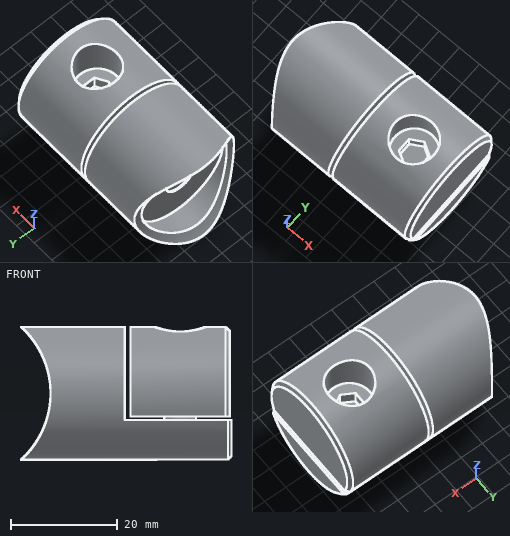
import cadquery as cq

length = 39.55
outer_diameter = 25.0
outer_radius = outer_diameter / 2

saddle_radius = 16.85
saddle_depth = 5.55
saddle_axis_x = saddle_depth - saddle_radius
shoulder_x = 19.55
tongue_top_z = -5.0
base_chamfer = 0.67
pocket_diameter = 21.3
pocket_floor_x = 6.7
recess_diameter = 6.8
recess_depth = 0.2

shoulder_gap = 1.03
tongue_gap = 0.6
block_start_x = shoulder_x + shoulder_gap
block_end_x = 39.25
block_chamfer = 0.8
block_bottom_z = tongue_top_z + tongue_gap

screw_x = 29.9
screw_y = 0.25
bore_diameter = 9.7
bore_floor_z = 3.15
hex_across_flats = 5.02
hex_depth = 3.15
stub_diameter = 6.0


def rod_along_x(start_x, end_x, diameter):
    """Solid cylinder centred on the X axis."""
    return cq.Workplane("YZ", origin=(start_x, 0, 0)).circle(diameter / 2).extrude(end_x - start_x)


def box_between(start_x, end_x, bottom_z, top_z):
    """Block over the full width of the part, between the given X and Z limits."""
    return cq.Workplane("XY").box(
        end_x - start_x, outer_diameter, top_z - bottom_z, centered=(False, True, False)
    ).translate((start_x, 0, bottom_z))


def chamfered_rod(end_x, chamfer):
    """Full-diameter rod with its +X rim chamfered."""
    return rod_along_x(0, end_x, outer_diameter).faces(">X").chamfer(chamfer)


def make_base():
    body = chamfered_rod(length, base_chamfer)
    body = body.cut(box_between(shoulder_x, length, tongue_top_z, outer_radius))
    saddle = (
        cq.Workplane("XZ", origin=(saddle_axis_x, 0, 0))
        .circle(saddle_radius)
        .extrude(outer_radius, both=True)
    )
    body = body.cut(saddle)
    body = body.cut(rod_along_x(0, pocket_floor_x, pocket_diameter))
    return body.cut(rod_along_x(pocket_floor_x, pocket_floor_x + recess_depth, recess_diameter))


def make_clamp_block():
    body = chamfered_rod(block_end_x, block_chamfer)
    body = body.intersect(box_between(block_start_x, block_end_x, block_bottom_z, outer_radius))
    bore_floor = cq.Workplane("XY", origin=(screw_x, screw_y, bore_floor_z))
    body = body.cut(bore_floor.circle(bore_diameter / 2).extrude(outer_radius - bore_floor_z))
    socket = bore_floor.polygon(6, hex_across_flats, circumscribed=True).extrude(-hex_depth)
    body = body.cut(socket)
    stub = (
        cq.Workplane("XY", origin=(screw_x, screw_y, tongue_top_z))
        .circle(stub_diameter / 2)
        .extrude(tongue_gap)
    )
    return body.union(stub)


base = make_base()
clamp_block = make_clamp_block()

result = cq.Compound.makeCompound([base.solids().val(), clamp_block.solids().val()])